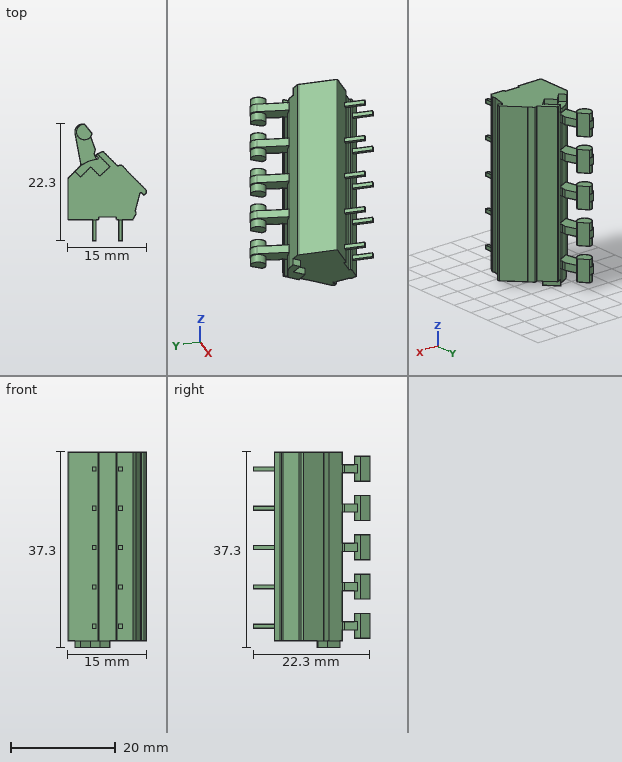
import cadquery as cq
import math

body_width = 15.0
body_height = 36.0
body_crest = 13.0
edge_break = 0.2

lever_slope_offset = 7.93
crest_slope_sum = 19.78
wire_slope_sum = 20.62
rim_slope_sum = 20.72
shoulder_foot = 7.66
roof_start = 0.05
lever_slope_end = 2.42

relief_left = 5.93
relief_right = 9.2
relief_depth = 0.5

module_count = 5
module_pitch = 7.5
first_module_z = 2.85
pin_drop = 0.05

pin_width = 0.7
pin_thickness = 0.8
pin_length = 4.0
pin_embed = 1.0
pin_centers_x = (5.05, 10.05)

lever_thickness = 1.6
knob_length = 4.8
knob_radius = 1.5
knob_x = 3.15
knob_y = 16.77
arm_tip_x = 2.82
arm_edge_tilt = math.radians(10.5)
flat_distance = 0.96
flat_angle = math.radians(38.8)

tongue_height = 1.3
pocket_depth = 1.5


def housing_profile():
    """Closed outline of the housing, anticlockwise from the lower rear corner."""
    step_x = 9.52
    rim_start = 10.25
    rim_end = 11.2
    return [
        (0, 0),
        (relief_left - edge_break, 0),
        (relief_left, edge_break),
        (relief_left, relief_depth),
        (relief_right, relief_depth),
        (relief_right, edge_break),
        (relief_right + edge_break, 0),
        (12.38, 0),
        (13.02, 1.1),
        (13.02, 1.4),
        (12.87, 1.7),
        (13.75, 5.0),
        (13.82, 5.15),
        (14.05, 5.15),
        (14.5, 4.67),
        (body_width, 5.1),
        (body_width, wire_slope_sum - body_width),
        (rim_end, wire_slope_sum - rim_end),
        (rim_end, rim_slope_sum - rim_end),
        (rim_start, rim_slope_sum - rim_start),
        (9.85, 10.42),
        (step_x, crest_slope_sum - step_x),
        (crest_slope_sum - body_crest, body_crest),
        (6.48, body_crest),
        (5.52, 12.53),
        (5.38, 12.36),
        (5.42, 12.17),
        (5.77, 11.87),
        (5.7, 11.63),
        (4.0, 11.21),
        (lever_slope_end, lever_slope_end + lever_slope_offset),
        (roof_start, roof_start + lever_slope_offset),
        (0, shoulder_foot),
    ]


def extrude_profile(points, bottom_z, height):
    return cq.Workplane("XY").workplane(offset=bottom_z).polyline(points).close().extrude(height)


def joint_block(bottom_z, height):
    """Part of the housing profile above the W-shaped joint line."""
    clearance = 2.0
    joint_line = [
        (1.38 - clearance, 9.2 + clearance),
        (2.42, 8.16),
        (4.36, 10.1),
        (6.1, 8.34),
        (8.03, 10.15),
        (5.6, 12.58),
        (5.6 - clearance, 12.58 + clearance),
    ]
    block = extrude_profile(joint_line, bottom_z, height)
    return block.intersect(extrude_profile(housing_profile(), bottom_z, height))


def make_housing():
    housing = extrude_profile(housing_profile(), 0, body_height)
    rear_edge = cq.NearestToPointSelector((0, 0, body_height / 2))
    housing = housing.edges(rear_edge).fillet(edge_break)
    housing = housing.cut(joint_block(body_height - pocket_depth, pocket_depth))
    return housing.union(joint_block(-tongue_height, tongue_height))


def make_pin(center_x, center_z):
    length = pin_length + pin_embed
    return cq.Workplane("XY").box(pin_width, length, pin_thickness).translate(
        (center_x, pin_embed - length / 2, center_z)
    )


def knob_flat_cutter(center_z):
    """Block beyond the flat that trims the knob and the arm tip."""
    size = 2 * knob_radius
    reach = flat_distance + size / 2
    block = cq.Workplane("XY").box(size, 2 * size, 2 * knob_length)
    block = block.rotate((0, 0, 0), (0, 0, 1), math.degrees(flat_angle))
    return block.translate(
        (knob_x + reach * math.cos(flat_angle), knob_y + reach * math.sin(flat_angle), center_z)
    )


def make_lever(center_z):
    """Flat arm with a rounded tip, carrying a cylindrical knob with one flat."""
    root_y = 10.0
    root_right_x = 5.45
    front_edge = [(4.36, 15.9), (5.25, 13.4), (5.05, 12.55), (root_right_x, 11.66)]
    tangent_x = arm_tip_x - knob_radius * math.cos(arm_edge_tilt)
    tangent_y = knob_y - knob_radius * math.sin(arm_edge_tilt)
    root_x = tangent_x + (tangent_y - root_y) * math.tan(arm_edge_tilt)
    mid_angle = math.radians(135)
    tip_mid = (
        arm_tip_x + knob_radius * math.cos(mid_angle),
        knob_y + knob_radius * math.sin(mid_angle),
    )
    arm = (
        cq.Workplane("XY")
        .workplane(offset=center_z - lever_thickness / 2)
        .moveTo(root_x, root_y)
        .lineTo(tangent_x, tangent_y)
        .threePointArc(tip_mid, (arm_tip_x, knob_y + knob_radius))
        .lineTo(knob_x, knob_y + knob_radius)
        .polyline(front_edge, includeCurrent=True)
        .lineTo(root_right_x, root_y)
        .close()
        .extrude(lever_thickness)
    )
    knob = (
        cq.Workplane("XY")
        .workplane(offset=center_z - knob_length / 2)
        .center(knob_x, knob_y)
        .circle(knob_radius)
        .extrude(knob_length)
    )
    return arm.union(knob).cut(knob_flat_cutter(center_z))


result = make_housing()
for module in range(module_count):
    module_z = first_module_z + module * module_pitch
    result = result.union(make_lever(module_z))
    for pin_x in pin_centers_x:
        result = result.union(make_pin(pin_x, module_z - pin_drop))